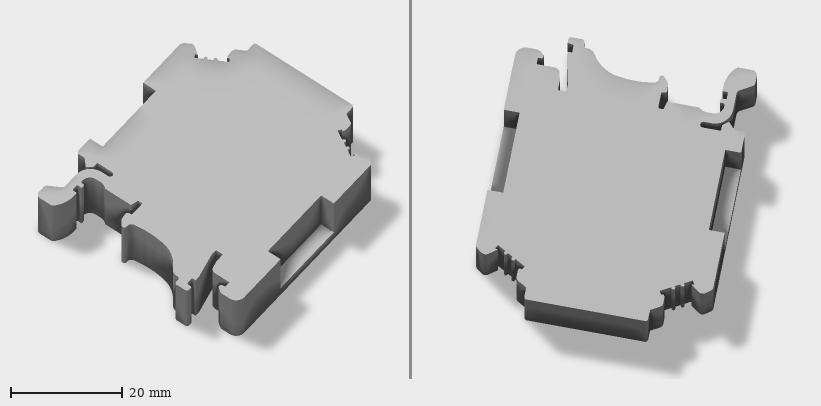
import cadquery as cq
import math


WIDTH = 43.5
LENGTH = 50.85
THICKNESS = 11.0
HALF_WIDTH = WIDTH / 2
SMALL_ROUND = 0.2

POCKET_DEPTH = 2.9
POCKET_LENGTH = 15.6
POCKET_START_Y = 15.95
POCKET_FLOOR_Z = 2.1

HEAD_HALF_WIDTH = 11.35
HEAD_BASE_Y = 48.6
HEAD_ROUND = 0.5
COLLAR_HALF_WIDTH = 13.45
COLLAR_TOP_Y = 47.4
COLLAR_BOTTOM_Y = 45.6
COLLAR_ROUND = 0.9
COLLAR_LIP_OUTER = (13.2, 45.2)
COLLAR_LIP_INNER = (12.8, 45.35)
RAMP_TOP = (12.35, 44.7)
RAMP_BOTTOM = (17.85, 41.6)
SHOULDER_PEAK = (19.9, 44.0)
SHOULDER_LIP = (17.75, 42.45)
SHOULDER_NOTCH = (18.3, 42.3)
SHOULDER_EDGE_Y = 42.65
SHOULDER_ROUND = 1.0
SHOULDER_EDGE_ROUND = 0.85

RIDGE_RADIUS = 0.35
RIDGE_RISE = 0.2
RIDGE_DISTANCES = (2.55, 4.3)

BODY_LEFT_END_Y = 11.95
BODY_LEFT_ROUND = 0.7
STOP_START_X = -19.85
STOP_TIP = (-18.45, 10.5)
CLIP_SLOT_TOP_Y = 12.5
CLIP_SLOT_BOTTOM_Y = 11.4
CLIP_SLOT_LEFT_X = -17.4
CLIP_SLOT_END_X = -13.5
CLIP_SLOT_END_ROUND = 0.5
CLIP_OUTER_X = -18.8
CLIP_OUTER_RADIUS = 3.3
CLIP_INNER_X = -17.1
CLIP_INNER_TOP_Y = 9.5
CLIP_INNER_RADIUS = 1.75
CLIP_ROOT_X = -13.4
CLIP_ROOT_RADIUS = 2.1
CLIP_TOOTH_X = -16.2
CLIP_TOOTH_BOTTOM_Y = 6.4
CLIP_TOOTH_TOP_Y = 7.25
CLIP_NOTCH_X = -17.25
CLIP_NOTCH_BOTTOM_Y = 5.0
CLIP_INNER_ROUND = 0.3
CLIP_ANKLE_Y = 4.5
CLIP_ANKLE_ROUND = 0.9
CLIP_FOOT_TOP_Y = 2.8
CLIP_FOOT_TOP_ROUND = 0.7
CLIP_FOOT_RIGHT_X = -17.94
CLIP_FOOT_ROUND = 1.0
CLIP_FOOT_CURVE = 5.85
CLIP_FOOT_CURVE_CORNER_Y = 2.07

SEAT_Y = 8.85
SEAT_LEFT_X = -12.75
SEAT_RIGHT_X = -6.85
RELIEF_LEFT_X = -6.45
RELIEF_TOP_Y = 10.4
RELIEF_ROUND = 0.25
HOOK_RELIEF_X = -5.45
HOOK_OUTER_X = -6.55
HOOK_INNER_X = -4.55
HOOK_TOP_Y = 7.25
HOOK_TOP_ROUND = 0.5
HOOK_SIDE = (-6.3, 5.3)
HOOK_SIDE_ROUND = 1.0
HOOK_TIP_X = -5.3
HOOK_TIP_Y = 4.1
HOOK_TIP_ROUND = 0.46

ARCH_HOOK_Y = 5.6
ARCH_CROWN = (-0.43, 6.34)
ARCH_FLANK = (6.06, 5.2)
ARCH_RUNOUT_X = 8.22
ARCH_END_Y = 1.55
ARCH_CROWN_RADIUS = 18.8
ARCH_FLANK_RADIUS = 7.0
ARCH_RUNOUT_RADIUS = 1.7
ARCH_HOOK_RADIUS = 0.95

STUB_LEFT_X = 9.95
STUB_RIGHT_X = 12.9
STUB_NOTCH_X = 11.75
STUB_NECK_X = 12.55
STUB_TOE_TOP_Y = 1.2
STUB_NOTCH_BOTTOM_Y = 1.4
STUB_NOTCH_TOP_Y = 2.85
STUB_NECK_TOP_Y = 3.8
STUB_NECK_ROUND = 0.3
STUB_ROUND = 0.5
GAP_LEFT_X = 11.35
GAP_LEFT_BEND_Y = 9.0
GAP_RIGHT_X = 12.9
GAP_RIGHT_BEND_Y = 8.5
GAP_BEND_ROUND = 0.5
FOOT_CEILING_X = 13.45
FOOT_CEILING_Y = 6.25
FOOT_CEILING_ROUND = 1.05
FOOT_NECK_X = 17.6
FOOT_TIP_X = 16.65
FOOT_TIP_TOP_Y = 5.0
FOOT_TIP_BOTTOM_Y = 4.3
FOOT_END_X = 17.75
FOOT_END_Y = 3.45
FOOT_END_ROUND = 1.45
FOOT_TIP_ROUND = 0.35
FOOT_RADIUS = 1.9


def shoulder_corners():
    """Corners of the right-hand head and shoulder, from the side edge up to the head."""
    return [
        (HALF_WIDTH, SHOULDER_EDGE_Y, SHOULDER_EDGE_ROUND),
        (*SHOULDER_PEAK, SHOULDER_ROUND),
        (*SHOULDER_LIP, 0),
        (*SHOULDER_NOTCH, 0),
        (*RAMP_BOTTOM, 0),
        (*RAMP_TOP, 0),
        (*COLLAR_LIP_INNER, 0),
        (*COLLAR_LIP_OUTER, 0),
        (COLLAR_HALF_WIDTH, COLLAR_BOTTOM_Y, 0),
        (COLLAR_HALF_WIDTH, COLLAR_TOP_Y, COLLAR_ROUND),
        (HEAD_HALF_WIDTH, HEAD_BASE_Y, 0),
        (HEAD_HALF_WIDTH, LENGTH, HEAD_ROUND),
    ]


def mirrored(corners):
    """The same corners on the left-hand side, in reverse so that the outline keeps its direction."""
    return [(-x, y, radius) for x, y, radius in reversed(corners)]


def clip_corners():
    """Spring clip: lower left end of the body, slot, curved arm and clip foot."""
    return [
        (-HALF_WIDTH, BODY_LEFT_END_Y, BODY_LEFT_ROUND),
        (STOP_START_X, BODY_LEFT_END_Y, 0),
        (*STOP_TIP, 0),
        (CLIP_SLOT_LEFT_X, CLIP_SLOT_BOTTOM_Y, 0),
        (CLIP_SLOT_LEFT_X, CLIP_SLOT_TOP_Y, 0),
        (CLIP_SLOT_END_X, CLIP_SLOT_TOP_Y, CLIP_SLOT_END_ROUND),
        (CLIP_SLOT_END_X, CLIP_SLOT_BOTTOM_Y, CLIP_SLOT_END_ROUND),
        (CLIP_OUTER_X, CLIP_SLOT_BOTTOM_Y, CLIP_OUTER_RADIUS),
        (CLIP_OUTER_X, CLIP_ANKLE_Y, CLIP_ANKLE_ROUND),
        (-HALF_WIDTH, CLIP_FOOT_TOP_Y, CLIP_FOOT_TOP_ROUND),
        (-HALF_WIDTH, 0, CLIP_FOOT_ROUND),
        (CLIP_FOOT_RIGHT_X, 0, CLIP_FOOT_ROUND),
        (CLIP_TOOTH_X, CLIP_FOOT_CURVE_CORNER_Y, CLIP_FOOT_CURVE),
        (CLIP_TOOTH_X, CLIP_NOTCH_BOTTOM_Y, SMALL_ROUND),
        (CLIP_NOTCH_X, CLIP_NOTCH_BOTTOM_Y, SMALL_ROUND),
        (CLIP_NOTCH_X, CLIP_TOOTH_BOTTOM_Y, SMALL_ROUND),
        (CLIP_TOOTH_X, CLIP_TOOTH_BOTTOM_Y, 0),
        (CLIP_TOOTH_X, CLIP_TOOTH_TOP_Y, SMALL_ROUND),
        (CLIP_INNER_X, CLIP_TOOTH_TOP_Y, CLIP_INNER_ROUND),
        (CLIP_INNER_X, CLIP_INNER_TOP_Y, CLIP_INNER_RADIUS),
        (CLIP_ROOT_X, CLIP_INNER_TOP_Y, CLIP_ROOT_RADIUS),
        (SEAT_LEFT_X, SEAT_Y, 0),
    ]


def rail_seat_corners():
    """Rail seat: relief slot, fixed hook and the arch behind the rail."""
    return [
        (SEAT_RIGHT_X, SEAT_Y, 0),
        (RELIEF_LEFT_X, RELIEF_TOP_Y, RELIEF_ROUND),
        (HOOK_RELIEF_X, RELIEF_TOP_Y, RELIEF_ROUND),
        (HOOK_RELIEF_X, HOOK_TOP_Y, RELIEF_ROUND),
        (HOOK_OUTER_X, HOOK_TOP_Y, HOOK_TOP_ROUND),
        (*HOOK_SIDE, HOOK_SIDE_ROUND),
        (HOOK_TIP_X, HOOK_TIP_Y, HOOK_TIP_ROUND),
        (HOOK_INNER_X, HOOK_TIP_Y, HOOK_TIP_ROUND),
        (HOOK_INNER_X, ARCH_HOOK_Y, ARCH_HOOK_RADIUS),
        (*ARCH_CROWN, ARCH_CROWN_RADIUS),
        (*ARCH_FLANK, ARCH_FLANK_RADIUS),
        (ARCH_RUNOUT_X, ARCH_END_Y, ARCH_RUNOUT_RADIUS),
    ]


def stub_and_foot_corners():
    """Notched stub, the gap beside it and the right foot."""
    return [
        (STUB_LEFT_X, ARCH_END_Y, STUB_ROUND),
        (STUB_LEFT_X, 0, STUB_ROUND),
        (STUB_RIGHT_X, 0, STUB_ROUND),
        (STUB_RIGHT_X, STUB_TOE_TOP_Y, 0),
        (STUB_NOTCH_X, STUB_NOTCH_BOTTOM_Y, 0),
        (STUB_NOTCH_X, STUB_NOTCH_TOP_Y, 0),
        (STUB_NECK_X, STUB_NOTCH_TOP_Y, 0),
        (STUB_NECK_X, STUB_NECK_TOP_Y, STUB_NECK_ROUND),
        (GAP_LEFT_X, GAP_LEFT_BEND_Y, GAP_BEND_ROUND),
        (GAP_LEFT_X, RELIEF_TOP_Y, RELIEF_ROUND),
        (GAP_RIGHT_X, RELIEF_TOP_Y, RELIEF_ROUND),
        (GAP_RIGHT_X, GAP_RIGHT_BEND_Y, GAP_BEND_ROUND),
        (FOOT_CEILING_X, FOOT_CEILING_Y, FOOT_CEILING_ROUND),
        (FOOT_NECK_X, FOOT_CEILING_Y, 0),
        (FOOT_NECK_X, FOOT_TIP_TOP_Y, 0),
        (FOOT_TIP_X, FOOT_TIP_TOP_Y, FOOT_TIP_ROUND),
        (FOOT_TIP_X, FOOT_TIP_BOTTOM_Y, SMALL_ROUND),
        (FOOT_END_X, FOOT_END_Y, FOOT_END_ROUND),
        (HALF_WIDTH, FOOT_END_Y, FOOT_RADIUS),
    ]


def unit_vector(start, end):
    length = math.dist(start, end)
    return (end[0] - start[0]) / length, (end[1] - start[1]) / length


def corner_arc(before, corner, after, radius):
    """Start, middle and end of the arc that rounds a corner between two straight edges."""
    to_before = unit_vector(corner, before)
    to_after = unit_vector(corner, after)
    half_angle = math.acos(to_before[0] * to_after[0] + to_before[1] * to_after[1]) / 2
    setback = radius / math.tan(half_angle)
    start = (corner[0] + setback * to_before[0], corner[1] + setback * to_before[1])
    end = (corner[0] + setback * to_after[0], corner[1] + setback * to_after[1])
    chord_middle = ((start[0] + end[0]) / 2, (start[1] + end[1]) / 2)
    bisector = unit_vector(corner, chord_middle)
    reach = radius / math.sin(half_angle) - radius
    middle = (corner[0] + reach * bisector[0], corner[1] + reach * bisector[1])
    return start, middle, end


def rounded_outline(corners):
    """Closed outline through (x, y, radius) corners; radius 0 leaves a corner sharp.

    The first corner must be sharp, as the outline starts there.
    """
    points = [(x, y) for x, y, _ in corners]
    outline = cq.Workplane("XY").moveTo(*points[0])
    for index in range(1, len(corners)):
        radius = corners[index][2]
        if radius == 0:
            outline = outline.lineTo(*points[index])
            continue
        following = points[(index + 1) % len(points)]
        start, middle, end = corner_arc(points[index - 1], points[index], following, radius)
        outline = outline.lineTo(*start).threePointArc(middle, end)
    return outline.close()


def make_body():
    shoulder = shoulder_corners()
    corners = (
        rail_seat_corners()
        + stub_and_foot_corners()
        + shoulder
        + mirrored(shoulder)
        + clip_corners()
    )
    return rounded_outline(corners).extrude(THICKNESS)


def make_ridges():
    """Round ridges standing proud of both shoulder ramps."""
    along_x, along_y = unit_vector(RAMP_TOP, RAMP_BOTTOM)
    centers = []
    for distance in RIDGE_DISTANCES:
        x = RAMP_TOP[0] + distance * along_x - RIDGE_RISE * along_y
        y = RAMP_TOP[1] + distance * along_y + RIDGE_RISE * along_x
        centers += [(x, y), (-x, y)]
    return cq.Workplane("XY").pushPoints(centers).circle(RIDGE_RADIUS).extrude(THICKNESS)


def make_side_pockets():
    """Cutters for the pockets in the left and right sides."""
    pocket_x = HALF_WIDTH - POCKET_DEPTH / 2
    pocket_y = POCKET_START_Y + POCKET_LENGTH / 2
    return (
        cq.Workplane("XY")
        .workplane(offset=POCKET_FLOOR_Z)
        .pushPoints([(-pocket_x, pocket_y), (pocket_x, pocket_y)])
        .rect(POCKET_DEPTH, POCKET_LENGTH)
        .extrude(THICKNESS - POCKET_FLOOR_Z)
    )


result = make_body().union(make_ridges()).cut(make_side_pockets())